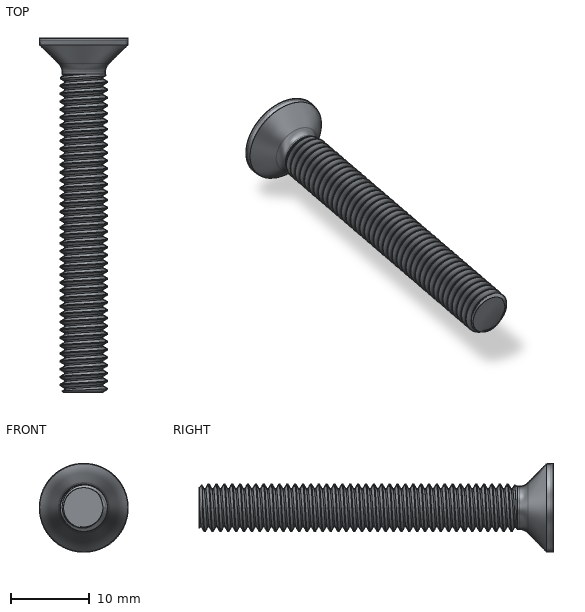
import cadquery as cq
import math

length = 45.0

head_diameter = 11.3
head_radius = head_diameter / 2
rim_height = 0.3
rim_taper_height = 0.55
rim_taper_depth = 0.05
cone_angle = math.radians(45)
cone_depth = 3.2

neck_radius = 2.75
neck_fillet_radius = 1.58
neck_end_depth = 4.55

thread_radius = 3.0
pitch = length / 45
core_radius = 2.45
crest_width = pitch / 8
flank_angle = math.radians(30)
first_crest_height = 0.45
runout_length = 0.68
tip_radius = 2.55
root_overlap = 0.05
seam_angle = 90

fillet_drop = neck_fillet_radius * (1 - math.cos(cone_angle))
fillet_length = neck_fillet_radius * math.sin(cone_angle)
cone_end_radius = neck_radius + fillet_drop
fillet_mid_drop = neck_fillet_radius * (1 - math.cos(cone_angle / 2))
fillet_mid_length = neck_fillet_radius * math.sin(cone_angle / 2)
neck_start_depth = cone_depth + fillet_length
ridge_root_radius = core_radius - root_overlap
core_start_depth = neck_end_depth + neck_radius - core_radius
rim_end_depth = rim_height + rim_taper_height


def make_body():
    """Head, neck and thread core as one turned profile, given as (radius, Y)."""
    return (
        cq.Workplane("XY")
        .lineTo(head_radius, 0)
        .lineTo(head_radius, -rim_height)
        .lineTo(head_radius - rim_taper_depth, -rim_end_depth)
        .lineTo(cone_end_radius, -cone_depth)
        .threePointArc(
            (neck_radius + fillet_mid_drop, -neck_start_depth + fillet_mid_length),
            (neck_radius, -neck_start_depth),
        )
        .lineTo(neck_radius, -neck_end_depth)
        .lineTo(core_radius, -core_start_depth)
        .lineTo(core_radius, -length)
        .lineTo(0, -length)
        .close()
        .revolve(360, (0, 0, 0), (0, 1, 0))
        .rotate((0, 0, 0), (0, 1, 0), seam_angle)
        .val()
    )


def make_thread_envelope():
    """Turned limit of the thread: chamfered at the tip and running out below the neck."""
    chamfer = thread_radius - tip_radius
    return (
        cq.Workplane("XY")
        .moveTo(0, -length)
        .lineTo(tip_radius, -length)
        .lineTo(thread_radius, -length + chamfer)
        .lineTo(thread_radius, -neck_end_depth - runout_length)
        .lineTo(neck_radius, -neck_end_depth)
        .lineTo(0, -neck_end_depth)
        .close()
        .revolve(360, (0, 0, 0), (0, 1, 0))
        .rotate((0, 0, 0), (0, 1, 0), seam_angle)
        .val()
    )


def make_helix_turn(radius, height):
    """One turn of an edge of the ridge, starting on the +X side at the given height."""
    return cq.Wire.makeHelix(pitch, pitch, radius).translate(cq.Vector(0, 0, height))


def make_ridge_turn():
    """One turn of the right-hand ridge along +Y, its crest starting on the +X side at Y = 0."""
    half_crest = crest_width / 2
    half_root = half_crest + (thread_radius - ridge_root_radius) * math.tan(flank_angle)
    corners = [
        (ridge_root_radius, -half_root),
        (thread_radius, -half_crest),
        (thread_radius, half_crest),
        (ridge_root_radius, half_root),
    ]
    helices = [make_helix_turn(radius, height) for radius, height in corners]
    faces = [cq.Face.makeRuledSurface(helices[i - 1], helices[i]) for i in range(len(helices))]
    for end_height in (0, pitch):
        points = [cq.Vector(radius, 0, height + end_height) for radius, height in corners]
        faces.append(cq.Face.makeFromWires(cq.Wire.makePolygon(points, close=True)))
    turn = cq.Solid.makeSolid(cq.Shell.makeShell(faces))
    return turn.rotate(cq.Vector(0, 0, 0), cq.Vector(1, 0, 0), -90)


def make_thread_turns():
    """Turns of the ridge from tip to neck; the turns at both ends are trimmed to the envelope."""
    envelope = make_thread_envelope()
    ridge_turn = make_ridge_turn()
    turn_count = math.floor((length - neck_end_depth) / pitch)
    trimmed_turns = (-1, 0, turn_count - 1, turn_count)
    turns = []
    for i in range(-1, turn_count + 1):
        turn = ridge_turn.translate(cq.Vector(0, first_crest_height + i * pitch - length, 0))
        if i in trimmed_turns:
            turn = turn.intersect(envelope)
        turns.extend(turn.Solids())
    return turns


result = cq.Workplane(make_body().fuse(*make_thread_turns()).clean())